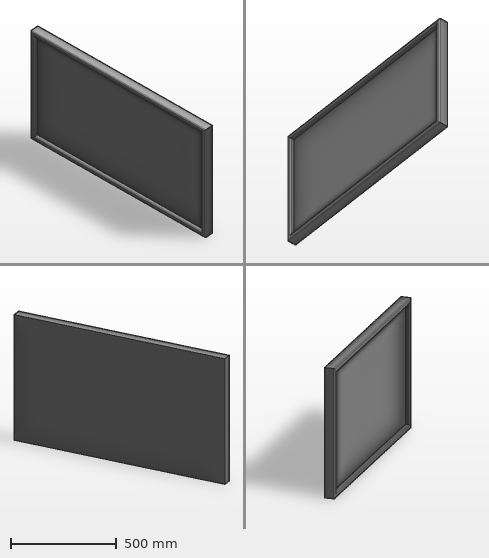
import cadquery as cq

width = 1120.0
depth = 50.0
height = 650.0

edge_radius = 5.0
frame_width = 25.0
recess_depth = 20.0

opening_width = width - 2 * frame_width
opening_height = height - 2 * frame_width
front_y = -depth / 2


def panel_slab():
    """Full-size slab that fills the frame from front to back."""
    return cq.Workplane("XY").box(width, depth, height)


def panel_recess():
    """Rectangular cavity between the frame front and the panel face."""
    cavity = cq.Workplane("XY").box(opening_width, recess_depth, opening_height)
    return cavity.translate((0, front_y + recess_depth / 2, 0))


result = panel_slab().cut(panel_recess()).faces("<Y").edges().fillet(edge_radius)